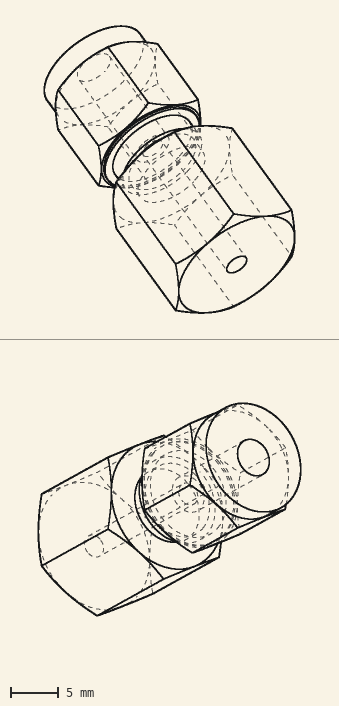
import cadquery as cq
import math

collar_end = 2.38
nut_end = 11.9
shoulder_end = 12.18
ring_end = 14.2
neck_end = 16.1
total_length = 29.7

nut_flats = 12.0
body_flats = 14.0
collar_diameter = 11.95
shoulder_diameter = 11.4
ring_diameter = 9.53
neck_diameter = 8.08

tube_bore_diameter = 4.0
tube_bore_depth = shoulder_end
through_bore_diameter = 2.4

chamfer_angle = math.radians(30)


def cylinder(start, end, diameter):
    """Cylinder on the X axis between two stations."""
    return cq.Workplane("YZ").workplane(offset=start).circle(diameter / 2).extrude(end - start)


def chamfered_hexagon(start, end, flats, face_diameter):
    """Hexagon with corners at +Z and -Z, its corners cut by a cone at both ends.

    Each cone starts from a circle of face_diameter on the end face.
    """
    corner_radius = flats / math.sqrt(3)
    face_radius = face_diameter / 2
    chamfer_length = (corner_radius - face_radius) * math.tan(chamfer_angle)
    prism = (
        cq.Workplane("YZ")
        .workplane(offset=start)
        .transformed(rotate=(0, 0, 90))
        .polygon(6, 2 * corner_radius)
        .extrude(end - start)
    )
    overshoot = 0.3
    cone_length = chamfer_length + overshoot * math.tan(chamfer_angle)
    outer_radius = corner_radius + overshoot
    envelope = (
        cq.Workplane("XY")
        .moveTo(start, 0)
        .lineTo(start, face_radius)
        .lineTo(start + cone_length, outer_radius)
        .lineTo(end - cone_length, outer_radius)
        .lineTo(end, face_radius)
        .lineTo(end, 0)
        .close()
        .revolve(360, (0, 0, 0), (1, 0, 0))
    )
    return prism.intersect(envelope)


nut = (
    cylinder(0, collar_end, collar_diameter)
    .union(chamfered_hexagon(collar_end, nut_end, nut_flats, collar_diameter))
    .union(cylinder(nut_end, shoulder_end, shoulder_diameter))
)

body = (
    cylinder(shoulder_end, ring_end, ring_diameter)
    .union(cylinder(ring_end, neck_end, neck_diameter))
    .union(chamfered_hexagon(neck_end, total_length, body_flats, body_flats))
)

tube_bore = cylinder(0, tube_bore_depth, tube_bore_diameter)
through_bore = cylinder(0, total_length, through_bore_diameter)

result = nut.union(body).cut(tube_bore).cut(through_bore)